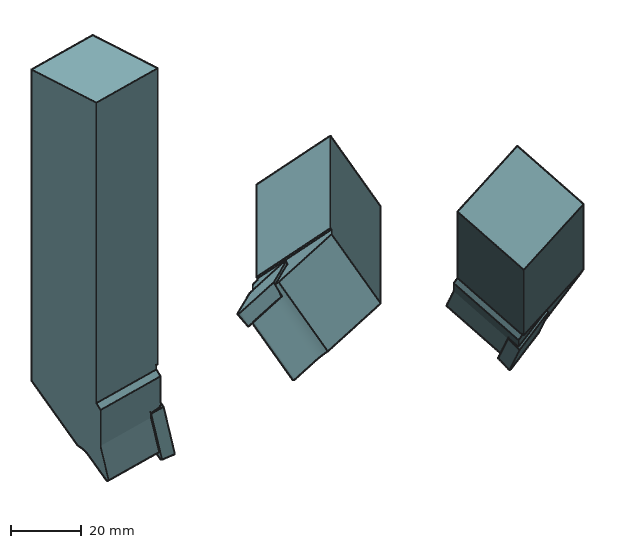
import cadquery as cq
import math

OVERALL_X = 31.75
OVERALL_Y = 25.4
OVERALL_Z = 127.0

TIP_ANGLE = 35.0
INSCRIBED_DIAMETER = 9.525
NOSE_RADIUS = 0.8
INSERT_THICKNESS = 4.76
CLEARANCE_ANGLE = 5.0
LOWER_EDGE_ANGLE = 37.5

SHANK_WIDTH = 25.4
SHANK_TOP_Y = 25.15
HEAD_TOP_Y = 24.6
HEAD_RELIEF_Z = 27.9
HEAD_SIDE_X = 27.0
HEAD_SHOULDER_Z = 26.45
SLOPE_START_Z = 22.9
SLOPE_END_Z = 9.0
UNDERCUT_RADIUS = 6.6
HEAD_NOSE_RADIUS = 0.6
INSERT_OVERHANG = 0.95

lower_angle = math.radians(LOWER_EDGE_ANGLE)
half_tip = math.radians(TIP_ANGLE / 2)
axis_angle = lower_angle + half_tip
side_angle = lower_angle + 2 * half_tip
long_half = INSCRIBED_DIAMETER / 2 / math.sin(half_tip)
short_half = INSCRIBED_DIAMETER / 2 / math.cos(half_tip)
sharp_to_nose_center = NOSE_RADIUS / math.sin(half_tip)


def along_axis(start, distance):
    """Point at a distance from start, back along the insert axis."""
    return (start[0] - distance * math.cos(axis_angle), start[1] + distance * math.sin(axis_angle))


nose_center = (OVERALL_X - NOSE_RADIUS, NOSE_RADIUS)
sharp_tip = along_axis(nose_center, -sharp_to_nose_center)
insert_center = along_axis(sharp_tip, long_half)


def xz_plane(y):
    """Sketch plane with X and Z as its axes, extruding toward -Y."""
    return cq.Workplane("XZ", origin=(0, y, 0))


def make_insert():
    clearance = INSERT_THICKNESS * math.tan(math.radians(CLEARANCE_ANGLE))

    def section(y, inset):
        """Rounded rhombus at height y, its edges moved inward by inset."""
        scale = 1 - inset / (INSCRIBED_DIAMETER / 2)
        radius = NOSE_RADIUS - inset
        corner = short_half * scale
        center_reach = long_half - sharp_to_nose_center
        tangent_x = center_reach + radius * math.sin(half_tip)
        tangent_y = radius * math.cos(half_tip)
        end_x = center_reach + radius
        plane = cq.Plane(
            origin=(insert_center[0], y, insert_center[1]),
            xDir=(math.cos(axis_angle), 0, -math.sin(axis_angle)),
            normal=(0, -1, 0),
        )
        return (
            cq.Workplane(plane)
            .moveTo(0, corner)
            .lineTo(tangent_x, tangent_y)
            .threePointArc((end_x, 0), (tangent_x, -tangent_y))
            .lineTo(0, -corner)
            .lineTo(-tangent_x, -tangent_y)
            .threePointArc((-end_x, 0), (-tangent_x, tangent_y))
            .close()
            .val()
        )

    top = section(OVERALL_Y, 0)
    bottom = section(OVERALL_Y - INSERT_THICKNESS, clearance)
    return cq.Workplane(cq.Solid.makeLoft([top, bottom], ruled=True))


def make_holder(insert):
    head_tip = along_axis(sharp_tip, INSERT_OVERHANG / math.sin(half_tip))
    side_bend_z = head_tip[1] + (head_tip[0] - HEAD_SIDE_X) * math.tan(side_angle)
    shoulder_width = HEAD_SIDE_X - SHANK_WIDTH
    slope_end_x = (SLOPE_START_Z - SLOPE_END_Z) / math.tan(lower_angle)

    step_end_x = head_tip[0] - (SLOPE_END_Z - head_tip[1]) / math.tan(lower_angle)
    tangent_length = UNDERCUT_RADIUS * math.tan(lower_angle / 2)
    arc_start = (step_end_x - tangent_length, SLOPE_END_Z)
    arc_end = (
        step_end_x + tangent_length * math.cos(lower_angle),
        SLOPE_END_Z - tangent_length * math.sin(lower_angle),
    )

    head_nose_center = along_axis(head_tip, HEAD_NOSE_RADIUS / math.sin(half_tip))
    head_nose_end = along_axis(head_nose_center, -HEAD_NOSE_RADIUS)
    nose_tangent_length = HEAD_NOSE_RADIUS / math.tan(half_tip)
    nose_side = (
        head_tip[0] - nose_tangent_length * math.cos(side_angle),
        head_tip[1] + nose_tangent_length * math.sin(side_angle),
    )
    nose_lower = (
        head_tip[0] - nose_tangent_length * math.cos(lower_angle),
        head_tip[1] + nose_tangent_length * math.sin(lower_angle),
    )

    body = (
        xz_plane(SHANK_TOP_Y)
        .moveTo(0, OVERALL_Z)
        .lineTo(SHANK_WIDTH, OVERALL_Z)
        .lineTo(SHANK_WIDTH, HEAD_SHOULDER_Z)
        .lineTo(HEAD_SIDE_X, HEAD_SHOULDER_Z - shoulder_width)
        .lineTo(HEAD_SIDE_X, side_bend_z)
        .lineTo(*nose_side)
        .threePointArc(head_nose_end, nose_lower)
        .lineTo(*arc_end)
        .tangentArcPoint(arc_start, relative=False)
        .lineTo(slope_end_x, SLOPE_END_Z)
        .lineTo(0, SLOPE_START_Z)
        .close()
        .extrude(SHANK_TOP_Y)
    )
    head_relief = (
        xz_plane(SHANK_TOP_Y)
        .rect(OVERALL_X, HEAD_RELIEF_Z, centered=False)
        .extrude(SHANK_TOP_Y - HEAD_TOP_Y)
    )
    return body.cut(head_relief).cut(insert).solids()


insert = make_insert()
holder = make_holder(insert)

result = cq.Compound.makeCompound([holder.val(), insert.val()])